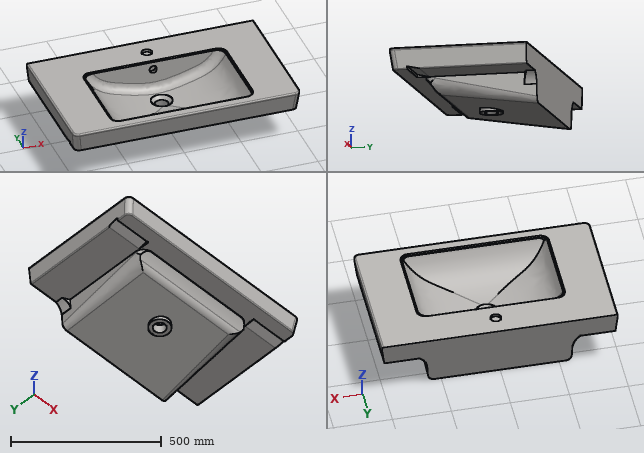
import cadquery as cq
import math

EPS = 1.0

width = 800.01
depth = 470.04
height = 173.43
slab_thickness = 72.0
slab_side_draft = 8.0
slab_front_draft = 10.0
slab_rim_height = 7.0
slab_corner_radius = 20.0
slab_top_fillet = 5.0
slab_bottom_fillet = 4.0

bowl_half_width_top = 250.0
bowl_half_width_bottom = 243.0
bowl_top_z = -slab_thickness / 2
bowl_lean = (bowl_half_width_top - bowl_half_width_bottom) / (height + bowl_top_z)
corner_tool_overshoot = 20.0
bowl_knee_y = -335.0
bowl_knee_z = -125.0
nose_arc_middle = (-349.0, -118.0)
nose_arc_end = (-357.0, -105.0)
nose_flare_middle = (-373.0, -86.0)
bowl_nose_y = -388.0
bowl_nose_radius = 40.0
bowl_back_bottom_radius = 20.0
bowl_front_bottom_radius = 46.0

basin_half_width = 248.0
basin_back_y = -126.0
basin_front_y = -432.0
basin_depth = 102.0
tool_top = 20.0
trough_points = [(124.0, -82.0), (200.0, -53.0), (basin_half_width, 0.0), (256.0, tool_top)]
floor_rise_y = -240.0
front_floor_middle = (-357.0, -72.0)
front_lip_depth = 8.0
basin_back_lean = 14.0
basin_back_fillet = 31.0
basin_corner_radius = 26.0
rim_chamfer = 4.0

drain_y = -214.0
drain_diameter = 46.0
drain_seat_diameter = 73.0
drain_seat_depth = 12.0
drain_boss_diameter = 78.0
drain_boss_bottom_z = -152.5
tap_y = -67.5
tap_diameter = 36.0
tap_depth = 10.0
overflow_diameter = 25.0
overflow_z = -30.0
overflow_depth = 8.0

lug_root_x = 247.0
lug_reach = 273.0
lug_bottom_z = -113.0
lug_arc_middle = (255.0, -90.0)
lug_length_tip = 29.0
lug_length_root = 42.0


def plan_outline(z, half_width, front_y, corner_radius):
    """Wire at height z with square corners at the wall and rounded corners at the front."""
    cut = corner_radius * (1 - math.sqrt(0.5))
    side = half_width - corner_radius
    return (
        cq.Workplane("XY", origin=(0, 0, z))
        .moveTo(-half_width, 0)
        .lineTo(half_width, 0)
        .lineTo(half_width, front_y + corner_radius)
        .threePointArc((half_width - cut, front_y + cut), (side, front_y))
        .lineTo(-side, front_y)
        .threePointArc((cut - half_width, front_y + cut), (-half_width, front_y + corner_radius))
        .close()
        .wires()
        .val()
    )


def make_slab():
    top = plan_outline(-slab_rim_height, width / 2, -depth, slab_corner_radius)
    bottom = plan_outline(
        -slab_thickness, width / 2 - slab_side_draft, slab_front_draft - depth, slab_corner_radius
    )
    slab = cq.Workplane(cq.Solid.makeLoft([bottom, top], True))
    rim = cq.Workplane(cq.Solid.extrudeLinear(top, [], cq.Vector(0, 0, slab_rim_height)))
    slab = slab.union(rim)
    not_at_wall = cq.selectors.BoxSelector((-width, -depth - EPS, -height), (width, -EPS, height))
    slab = slab.faces(">Z").edges(not_at_wall).fillet(slab_top_fillet)
    return slab.faces("<Z").edges(not_at_wall).fillet(slab_bottom_fillet)


def bottom_corner_section(side, y, bottom_radius):
    """Region at y outside the rounded lower corner of the bowl on one side (-1 or 1)."""
    bottom_z = -height + (bowl_knee_z + height) * y / bowl_knee_y
    half_bottom = bowl_half_width_top + bowl_lean * (bottom_z - bowl_top_z)
    side_end = half_bottom + bowl_lean * bottom_radius
    flat = half_bottom - bottom_radius
    cut = bottom_radius * (1 - math.sqrt(0.5))
    side_z = bottom_z + bottom_radius
    outer = width / 2
    return (
        cq.Workplane("XZ", origin=(0, y, 0))
        .moveTo(side * side_end, side_z)
        .threePointArc((side * (half_bottom - cut), bottom_z + cut), (side * flat, bottom_z))
        .lineTo(side * flat, -2 * height)
        .lineTo(side * outer, -2 * height)
        .lineTo(side * outer, side_z)
        .close()
        .wires()
        .val()
    )


def make_bottom_corner(side):
    """Tool that rounds a lower edge of the bowl; the rounding widens from the wall to the nose."""
    growth = (bowl_front_bottom_radius - bowl_back_bottom_radius) / bowl_knee_y
    sections = []
    for y in (corner_tool_overshoot, bowl_nose_y - corner_tool_overshoot):
        sections.append(bottom_corner_section(side, y, bowl_back_bottom_radius + growth * y))
    return cq.Workplane(cq.Solid.makeLoft(sections, True))


def make_bowl():
    prism = (
        cq.Workplane("XY", origin=(0, 0, bowl_top_z))
        .rect(2 * bowl_half_width_top, -2 * bowl_nose_y)
        .extrude(-height - bowl_top_z, taper=math.degrees(math.atan(bowl_lean)))
    )
    prism = prism.faces("<Y").edges("not #Z").fillet(bowl_nose_radius)
    side_profile = (
        cq.Workplane("YZ")
        .moveTo(0, bowl_top_z)
        .lineTo(0, -height)
        .lineTo(bowl_knee_y, bowl_knee_z)
        .threePointArc(nose_arc_middle, nose_arc_end)
        .threePointArc(nose_flare_middle, (bowl_nose_y, -slab_thickness))
        .lineTo(bowl_nose_y, bowl_top_z)
        .close()
        .extrude(width / 2, both=True)
    )
    return prism.intersect(side_profile)


def make_basin():
    """Tool for the hollow: a trough along Y, blended into the wall side, with a rising front floor."""
    trough = (
        cq.Workplane("XZ", origin=(0, basin_back_y / 2, 0))
        .moveTo(-trough_points[-1][0], trough_points[-1][1])
        .spline(
            [(-x, z) for x, z in reversed(trough_points[:-1])] + [(0, -basin_depth)] + trough_points,
            includeCurrent=True,
        )
        .close()
        .extrude(basin_back_y / 2 - basin_front_y)
    )
    slope = basin_back_lean / basin_depth
    leaning_wall = (
        cq.Workplane("YZ")
        .moveTo(basin_front_y, tool_top)
        .lineTo(basin_back_y + slope * tool_top, tool_top)
        .lineTo(basin_back_y - slope * 2 * basin_depth, -2 * basin_depth)
        .lineTo(basin_front_y, -2 * basin_depth)
        .close()
        .extrude(width / 2, both=True)
    )
    trough = trough.intersect(leaning_wall)
    back_wall = cq.selectors.NearestToPointSelector((0, 0, -basin_depth / 2))
    trough = trough.faces(back_wall).edges("not >Z").fillet(basin_back_fillet)
    floor = (
        cq.Workplane("YZ")
        .moveTo(0, tool_top)
        .lineTo(0, -basin_depth)
        .lineTo(floor_rise_y, -basin_depth)
        .threePointArc(front_floor_middle, (basin_front_y, -front_lip_depth))
        .lineTo(basin_front_y, tool_top)
        .close()
        .extrude(width / 2, both=True)
    )
    basin = trough.intersect(floor)
    rounded = (
        cq.Workplane("XY", origin=(0, 0, -height))
        .rect(2 * basin_half_width, -2 * basin_front_y)
        .extrude(height + tool_top)
        .edges("|Z")
        .fillet(basin_corner_radius)
    )
    return basin.intersect(rounded)


def upright_cylinder(y, diameter, bottom_z, top_z):
    return cq.Workplane("XY", origin=(0, y, bottom_z)).circle(diameter / 2).extrude(top_z - bottom_z)


def make_wall_lug(side):
    """Concave bracket between bowl side and slab at the wall (side is -1 or 1), with a slanted front."""
    profile = (
        cq.Workplane("XZ")
        .moveTo(side * lug_root_x, lug_bottom_z)
        .threePointArc((side * lug_arc_middle[0], lug_arc_middle[1]), (side * lug_reach, -slab_thickness))
        .lineTo(side * lug_reach, bowl_top_z)
        .lineTo(side * lug_root_x / 2, bowl_top_z)
        .lineTo(side * lug_root_x / 2, lug_bottom_z)
        .close()
        .extrude(lug_length_root)
    )
    plan = (
        cq.Workplane("XY", origin=(0, 0, -height))
        .polyline(
            [
                (0, 0),
                (side * lug_reach, 0),
                (side * lug_reach, -lug_length_tip),
                (side * lug_root_x, -lug_length_root),
                (0, -lug_length_root),
            ]
        )
        .close()
        .extrude(height)
    )
    return profile.intersect(plan)


def make_rim_chamfer():
    """Tool that bevels the top edge of the hollow."""
    length = basin_back_y - basin_front_y
    lower = cq.Sketch().rect(2 * basin_half_width, length).vertices().fillet(basin_corner_radius)
    upper = (
        cq.Sketch()
        .rect(2 * (basin_half_width + rim_chamfer), length + 2 * rim_chamfer)
        .vertices()
        .fillet(basin_corner_radius + rim_chamfer)
    )
    return (
        cq.Workplane("XY", origin=(0, basin_back_y - length / 2, -rim_chamfer))
        .placeSketch(lower, upper.moved(cq.Location(cq.Vector(0, 0, rim_chamfer))))
        .loft(ruled=True)
    )


def make_drain_seat():
    """Tool for the round seat in the basin floor, tapering down to the drain hole."""
    cone = (
        cq.Workplane("XY", origin=(0, drain_y, -basin_depth - drain_seat_depth))
        .circle(drain_diameter / 2)
        .workplane(offset=drain_seat_depth)
        .circle(drain_seat_diameter / 2)
        .loft(ruled=True)
    )
    return cone.union(upright_cylinder(drain_y, drain_seat_diameter, -basin_depth, -basin_depth / 2))


def make_overflow():
    """Tool for the blind overflow hole in the back wall of the hollow."""
    return (
        cq.Workplane("XZ", origin=(0, basin_back_y + overflow_depth, overflow_z))
        .circle(overflow_diameter / 2)
        .extrude(overflow_depth + basin_back_lean)
    )


result = make_slab().union(make_bowl())
for side in (-1, 1):
    result = result.cut(make_bottom_corner(side))
    result = result.union(make_wall_lug(side))
boss_top_z = -basin_depth - drain_seat_depth
result = result.union(upright_cylinder(drain_y, drain_boss_diameter, drain_boss_bottom_z, boss_top_z))
result = result.cut(make_basin())
result = result.cut(make_rim_chamfer())
result = result.cut(make_drain_seat())
result = result.cut(upright_cylinder(drain_y, drain_diameter, -height, 0))
result = result.cut(upright_cylinder(tap_y, tap_diameter, -tap_depth, EPS))
result = result.cut(make_overflow())